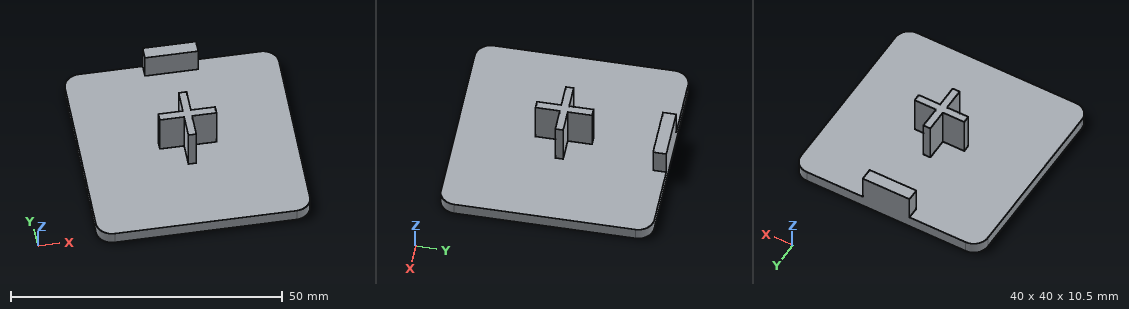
import cadquery as cq

plate_side = 40.0
plate_thickness = 2.5
corner_radius = 3.0

cross_span = 10.6
cross_arm_thickness = 1.5
cross_height = 8.0

tab_width = 10.0
tab_depth = plate_thickness
tab_height = 5.0


def make_plate():
    plate = cq.Workplane("XY").rect(plate_side, plate_side).extrude(plate_thickness)
    return plate.edges("|Z").fillet(corner_radius)


def block_on_plate(width, depth, height, center_y=0.0):
    """Block standing on the plate, centred in X."""
    top_plane = cq.Workplane("XY").workplane(offset=plate_thickness)
    return top_plane.center(0, center_y).rect(width, depth).extrude(height)


def make_cross():
    arm_along_x = block_on_plate(cross_span, cross_arm_thickness, cross_height)
    arm_along_y = block_on_plate(cross_arm_thickness, cross_span, cross_height)
    return arm_along_x.union(arm_along_y)


def make_tab():
    center_y = (plate_side - tab_depth) / 2
    return block_on_plate(tab_width, tab_depth, tab_height, center_y)


result = make_plate().union(make_cross()).union(make_tab())